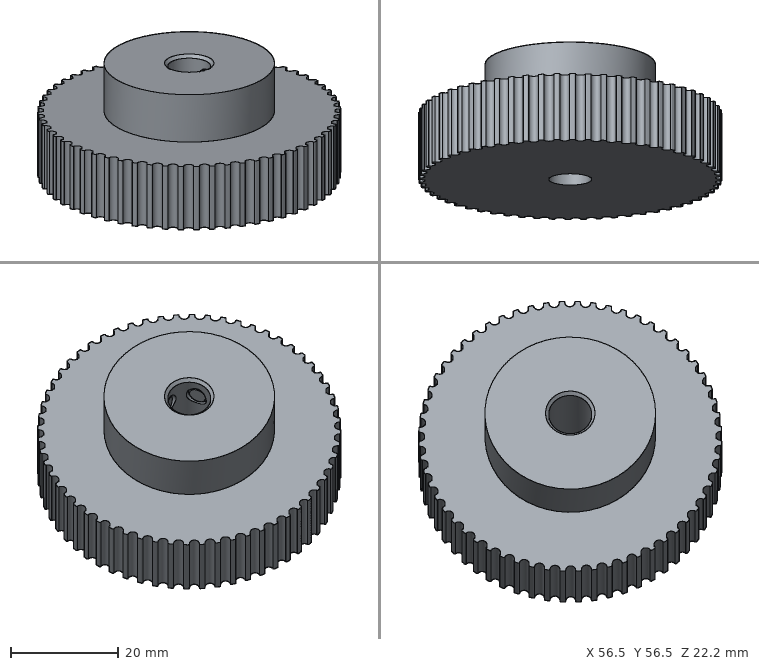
import cadquery as cq
import math

TOOTH_COUNT = 60
RIM_RADIUS = 56.5 / 2
RIM_HEIGHT = 12.7
GROOVE_DEPTH = 1.13
GROOVE_RADIUS = 0.93
TIP_FILLET = 0.22

TOTAL_HEIGHT = 22.2
HUB_RADIUS = 31.8 / 2

BORE_RADIUS = 8.0 / 2
BORE_CHAMFER = 0.6

SCREW_RADIUS = 4.0 / 2
SCREW_TIP_CHAMFER = 0.4
SCREW_TIP_DISTANCE = 4.05
SCREW_DEPTH = 4.2
SCREW_Z = TOTAL_HEIGHT - SCREW_DEPTH
SCREW_ANGLES = (0, 90)


def rotated(point, angle):
    """Turn a point about the Z axis."""
    x, y = point
    cos_a = math.cos(angle)
    sin_a = math.sin(angle)
    return (x * cos_a - y * sin_a, x * sin_a + y * cos_a)


def mirrored(point):
    """Reflect a point across the X axis."""
    x, y = point
    return (x, -y)


def make_rim():
    """Toothed disc: round-floored grooves with filleted tooth tips, one groove on the +X axis."""
    tooth_angle = 2 * math.pi / TOOTH_COUNT
    floor_x = RIM_RADIUS - GROOVE_DEPTH
    floor_mid = (floor_x, 0)
    floor_end = (floor_x + GROOVE_RADIUS, GROOVE_RADIUS)

    fillet_y = GROOVE_RADIUS + TIP_FILLET
    fillet_x = math.sqrt((RIM_RADIUS - TIP_FILLET) ** 2 - fillet_y**2)
    land_angle = math.atan2(fillet_y, fillet_x)
    fillet_mid_angle = (land_angle - math.pi / 2) / 2

    side_end = (fillet_x, GROOVE_RADIUS)
    fillet_mid = (
        fillet_x + TIP_FILLET * math.cos(fillet_mid_angle),
        fillet_y + TIP_FILLET * math.sin(fillet_mid_angle),
    )
    land_start = rotated((RIM_RADIUS, 0), land_angle)
    land_mid = rotated((RIM_RADIUS, 0), tooth_angle / 2)

    outline = cq.Workplane("XY").moveTo(*mirrored(land_start))
    for tooth in range(TOOTH_COUNT):
        angle = tooth * tooth_angle
        next_angle = angle + tooth_angle
        outline = (
            outline.threePointArc(rotated(mirrored(fillet_mid), angle), rotated(mirrored(side_end), angle))
            .lineTo(*rotated(mirrored(floor_end), angle))
            .threePointArc(rotated(floor_mid, angle), rotated(floor_end, angle))
            .lineTo(*rotated(side_end, angle))
            .threePointArc(rotated(fillet_mid, angle), rotated(land_start, angle))
            .threePointArc(rotated(land_mid, angle), rotated(mirrored(land_start), next_angle))
        )
    return outline.close().extrude(RIM_HEIGHT)


def make_hub():
    """Plain cylinder standing on the same base as the rim."""
    return cq.Workplane("XY").circle(HUB_RADIUS).extrude(TOTAL_HEIGHT)


def make_bore():
    """Half section of the chamfered bore, revolved about Z."""
    mouth_radius = BORE_RADIUS + BORE_CHAMFER
    return (
        cq.Workplane("XZ")
        .moveTo(0, 0)
        .lineTo(BORE_RADIUS, 0)
        .lineTo(BORE_RADIUS, TOTAL_HEIGHT - BORE_CHAMFER)
        .lineTo(mouth_radius, TOTAL_HEIGHT)
        .lineTo(0, TOTAL_HEIGHT)
        .close()
        .revolve(360, (0, 0, 0), (0, 1, 0))
    )


def make_screw_pocket(angle):
    """Half section of the space in front of a screw tip, revolved about the screw axis and turned about Z."""
    tip_flat_radius = SCREW_RADIUS - SCREW_TIP_CHAMFER
    return (
        cq.Workplane("XZ", origin=(0, 0, SCREW_Z))
        .moveTo(0, 0)
        .lineTo(SCREW_TIP_DISTANCE, 0)
        .lineTo(SCREW_TIP_DISTANCE, tip_flat_radius)
        .lineTo(SCREW_TIP_DISTANCE + SCREW_TIP_CHAMFER, SCREW_RADIUS)
        .lineTo(0, SCREW_RADIUS)
        .close()
        .revolve(360, (0, 0, 0), (1, 0, 0))
        .rotate((0, 0, 0), (0, 0, 1), angle)
    )


result = make_rim().union(make_hub()).cut(make_bore())
for screw_angle in SCREW_ANGLES:
    result = result.cut(make_screw_pocket(screw_angle))